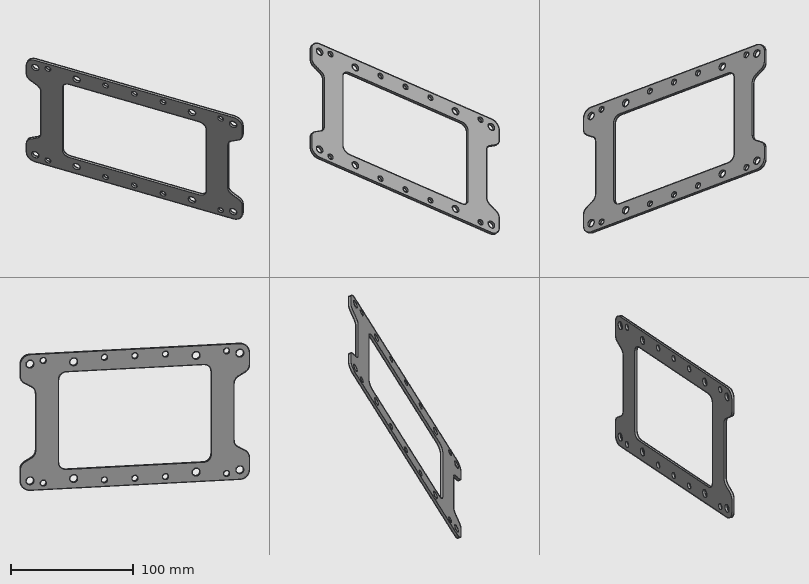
import cadquery as cq
import math

length = 190.5
height = 114.3
thickness = 2.3
corner_radius = 8.0

window_length = 126.9
window_height = 82.3
window_radius = 6.3

waist_length = 165.0
notch_mouth_height = 70.5
shoulder_angle = 30.0
shoulder_radius = 6.7

large_hole_diameter = 6.5
large_hole_x = (50.9, 87.2)
large_hole_z = 49.1
small_hole_diameter = 5.0
small_hole_x = (0.0, 25.3, 76.2)
small_hole_z = 51.6

half_length = length / 2
half_waist = waist_length / 2
half_mouth = notch_mouth_height / 2
notch_depth = half_length - half_waist
half_notch_floor = half_mouth - notch_depth * math.tan(math.radians(shoulder_angle))


def rounded_block(size_x, size_z, radius):
    block = cq.Workplane("XY").box(size_x, thickness, size_z)
    return block.edges("|Y").fillet(radius)


def notched_plate():
    quarter = [
        (half_length, height / 2),
        (half_length, half_mouth),
        (half_waist, half_notch_floor),
    ]
    right_side = quarter + [(x, -z) for x, z in reversed(quarter)]
    left_side = [(-x, z) for x, z in reversed(right_side)]
    plate = (
        cq.Workplane("XZ")
        .polyline(right_side + left_side)
        .close()
        .extrude(thickness / 2, both=True)
    )
    shoulders = plate.edges("|Y").filter(lambda edge: abs(edge.Center().z) <= half_mouth + shoulder_radius)
    return plate.newObject(shoulders.vals()).fillet(shoulder_radius)


def mirrored_holes(x_positions, z_position, diameter):
    points = [
        (x, z)
        for x in sorted({sign * x for x in x_positions for sign in (-1, 1)})
        for z in (-z_position, z_position)
    ]
    return (
        cq.Workplane("XZ")
        .pushPoints(points)
        .circle(diameter / 2)
        .extrude(thickness, both=True)
    )


result = (
    notched_plate()
    .intersect(rounded_block(length, height, corner_radius))
    .cut(rounded_block(window_length, window_height, window_radius))
    .cut(mirrored_holes(large_hole_x, large_hole_z, large_hole_diameter))
    .cut(mirrored_holes(small_hole_x, small_hole_z, small_hole_diameter))
)